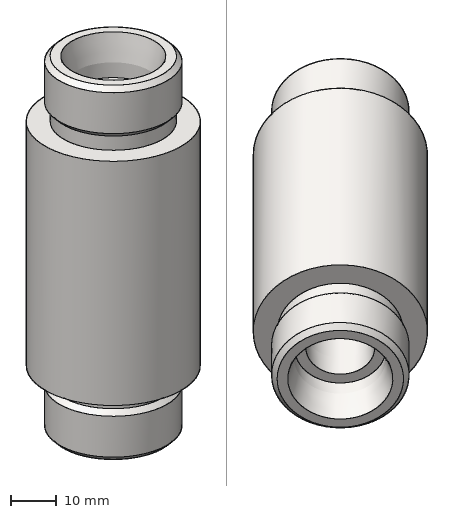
import cadquery as cq
import math

total_length = 92.0
body_diameter = 38.0
body_length = 60.0

collar_diameter = 30.0
undercut_diameter = 27.55
undercut_length = 3.5
collar_chamfer = (collar_diameter - undercut_diameter) / 2

bore_diameter = 15.0
socket_diameter = 20.0
socket_depth = 10.5
mouth_diameter = 22.9
mouth_half_angle = math.radians(12)
mouth_depth = (mouth_diameter - socket_diameter) / 2 / math.tan(mouth_half_angle)


def make_end():
    """Stepped end, revolved about Z, from the body face up to the end face."""
    body_face = body_length / 2
    end_face = total_length / 2
    undercut_top = body_face + undercut_length
    bore_radius = bore_diameter / 2
    socket_radius = socket_diameter / 2
    undercut_radius = undercut_diameter / 2
    collar_radius = collar_diameter / 2
    profile = [
        (bore_radius, body_face),
        (undercut_radius, body_face),
        (undercut_radius, undercut_top),
        (collar_radius, undercut_top + collar_chamfer),
        (collar_radius, end_face - collar_chamfer),
        (collar_radius - collar_chamfer, end_face),
        (mouth_diameter / 2, end_face),
        (socket_radius, end_face - mouth_depth),
        (socket_radius, end_face - socket_depth),
        (bore_radius, end_face - socket_depth),
    ]
    return cq.Workplane("XZ").polyline(profile).close().revolve(360, (0, 0), (0, 1))


def make_body():
    """Central sleeve, centred on the origin."""
    return (
        cq.Workplane("XY")
        .workplane(offset=-body_length / 2)
        .circle(body_diameter / 2)
        .circle(bore_diameter / 2)
        .extrude(body_length)
    )


upper_end = make_end()
lower_end = upper_end.mirror("XY")
result = make_body().union(upper_end).union(lower_end)